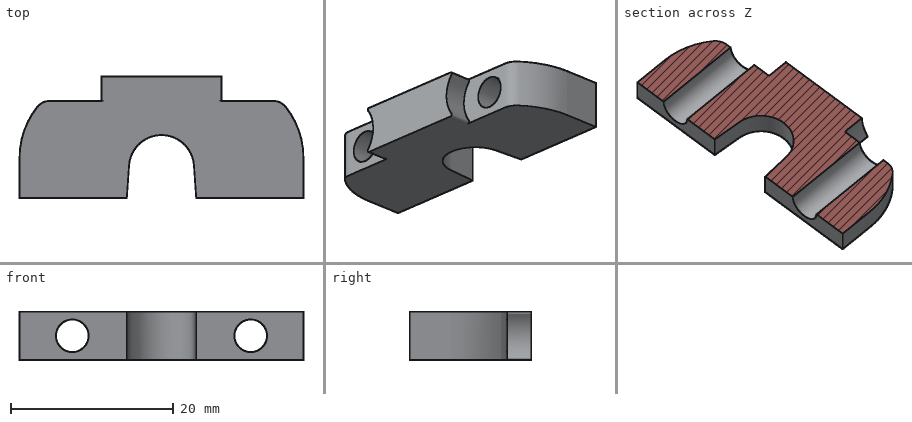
import cadquery as cq
import math

length = 35.0
thickness = 6.0
total_depth = 15.0
shoulder_depth = 12.0
half_length = length / 2
half_thickness = thickness / 2

straight_end_depth = 5.0
end_radius = 10.0
corner_radius = 2.0

slot_radius = 4.0
slot_center_y = 3.78
slot_flare_angle = math.radians(4)

hole_diameter = 4.0
hole_offset = 11.0

tab_half_width = 7.42
tab_edge_radius = 0.2
tab_hollow_depth = 0.95


def make_body():
    arc_center_x = half_length - end_radius
    arc_rise = shoulder_depth - straight_end_depth
    shoulder_x = arc_center_x + math.sqrt(end_radius**2 - arc_rise**2)
    middle_angle = math.asin(arc_rise / end_radius) / 2
    middle_x = arc_center_x + end_radius * math.cos(middle_angle)
    middle_y = straight_end_depth + end_radius * math.sin(middle_angle)

    outline = (
        cq.Workplane("XY", origin=(0, 0, -half_thickness))
        .moveTo(-half_length, 0)
        .lineTo(half_length, 0)
        .lineTo(half_length, straight_end_depth)
        .threePointArc((middle_x, middle_y), (shoulder_x, shoulder_depth))
        .lineTo(-shoulder_x, shoulder_depth)
        .threePointArc((-middle_x, middle_y), (-half_length, straight_end_depth))
        .close()
    )
    body = outline.extrude(thickness)
    return body.edges("|Z").edges(">Y").fillet(corner_radius)


def make_tab():
    round_x = tab_half_width - tab_edge_radius
    round_z = half_thickness - tab_edge_radius
    waist_x = tab_half_width - tab_hollow_depth
    round_overhang = round_x - waist_x
    hollow_radius = (round_overhang**2 + round_z**2 - tab_edge_radius**2) / (
        2 * (tab_edge_radius + round_overhang)
    )
    hollow_center_x = waist_x + hollow_radius

    tangent_angle = math.atan2(round_z, hollow_center_x - round_x)
    tangent_x = hollow_center_x - hollow_radius * math.cos(tangent_angle)
    tangent_z = hollow_radius * math.sin(tangent_angle)

    profile = (
        cq.Workplane("XZ")
        .moveTo(-round_x, half_thickness)
        .lineTo(round_x, half_thickness)
        .threePointArc((tab_half_width, round_z), (tangent_x, tangent_z))
        .threePointArc((waist_x, 0), (tangent_x, -tangent_z))
        .threePointArc((tab_half_width, -round_z), (round_x, -half_thickness))
        .lineTo(-round_x, -half_thickness)
        .threePointArc((-tab_half_width, -round_z), (-tangent_x, -tangent_z))
        .threePointArc((-waist_x, 0), (-tangent_x, tangent_z))
        .threePointArc((-tab_half_width, round_z), (-round_x, half_thickness))
        .close()
    )
    tab_start = (slot_center_y + slot_radius + shoulder_depth) / 2
    return profile.extrude(-(total_depth - tab_start)).translate((0, tab_start, 0))


def make_slot():
    tangent_x = slot_radius * math.cos(slot_flare_angle)
    tangent_y = slot_center_y + slot_radius * math.sin(slot_flare_angle)
    mouth_x = tangent_x + tangent_y * math.tan(slot_flare_angle)
    return (
        cq.Workplane("XY", origin=(0, 0, -half_thickness))
        .moveTo(-mouth_x, 0)
        .lineTo(mouth_x, 0)
        .lineTo(tangent_x, tangent_y)
        .threePointArc((0, slot_center_y + slot_radius), (-tangent_x, tangent_y))
        .close()
        .extrude(thickness)
    )


def make_holes():
    return (
        cq.Workplane("XZ")
        .pushPoints([(-hole_offset, 0), (hole_offset, 0)])
        .circle(hole_diameter / 2)
        .extrude(-shoulder_depth)
    )


result = make_body().union(make_tab()).cut(make_slot()).cut(make_holes())